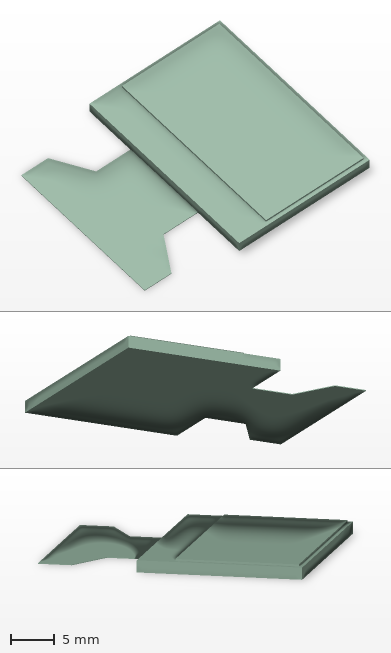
import cadquery as cq

overall_width = 26.7
overall_length = 31.25
overall_height = 1.65

screen_thickness = 0.25
screen_margin = 0.5
screen_length = 14.38
panel_thickness = overall_height - screen_thickness

flex_thickness = 0.1
neck_width = 12.0
neck_length = 5.1
taper_length = 2.97
tail_width = 22.0
tail_length = 3.95

cable_end_y = 0.0
taper_front_y = cable_end_y + tail_length
neck_front_y = taper_front_y + taper_length
panel_front_y = neck_front_y + neck_length
panel_length = overall_length - panel_front_y
screen_front_y = overall_length - screen_margin - screen_length


def centred_plate(width, length, thickness, front_y, bottom_z=0.0):
    """Rectangular plate centred on X, starting at the given front and bottom."""
    return (
        cq.Workplane("XY")
        .box(width, length, thickness, centered=(True, False, False))
        .translate((0, front_y, bottom_z))
    )


def make_taper():
    """Trapezoid of cable that widens from the neck to the tail."""
    return (
        cq.Workplane("XY")
        .moveTo(-tail_width / 2, taper_front_y)
        .lineTo(tail_width / 2, taper_front_y)
        .lineTo(neck_width / 2, neck_front_y)
        .lineTo(-neck_width / 2, neck_front_y)
        .close()
        .extrude(flex_thickness)
    )


panel = centred_plate(overall_width, panel_length, panel_thickness, panel_front_y)
screen_width = overall_width - 2 * screen_margin
screen = centred_plate(screen_width, screen_length, screen_thickness, screen_front_y, panel_thickness)

neck = centred_plate(neck_width, neck_length, flex_thickness, neck_front_y)
taper = make_taper()
tail = centred_plate(tail_width, tail_length, flex_thickness, cable_end_y)

result = cq.Compound.makeCompound([
    panel.val(),
    screen.val(),
    neck.val(),
    taper.val(),
    tail.val(),
])